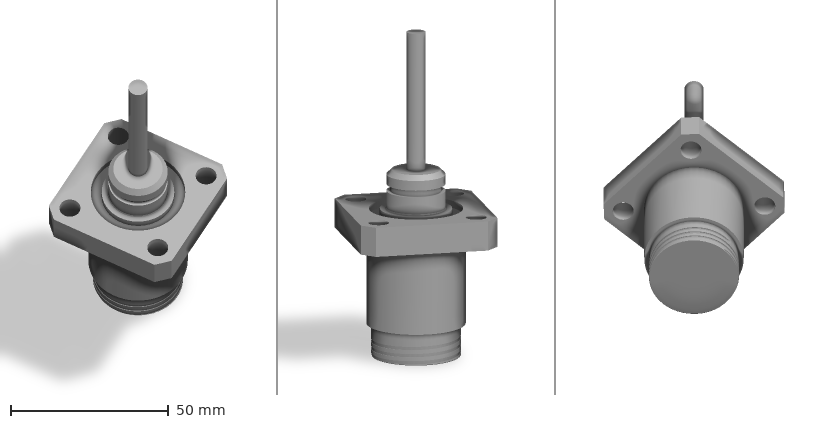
import cadquery as cq
import math

TOTAL_HEIGHT = 105.7
BARREL_BOTTOM = 10.5
FLANGE_BOTTOM = 38.5
FLANGE_TOP = 48.0
NECK_GROOVE_BOTTOM = 53.8
NECK_GROOVE_TOP = 56.0
NECK_TOP = 60.8

FLANGE_SIDE = 44.5
FLANGE_CORNER_CHAMFER = 4.0
HOLE_SPACING = 31.8
HOLE_DIAMETER = 6.7

RECESS_OUTER_DIAMETER = 30.0
RECESS_INNER_DIAMETER = 23.0
RECESS_DEPTH = 2.3

BARREL_DIAMETER = 31.6
SPIGOT_DIAMETER = 28.6
NECK_DIAMETER = 18.8
NECK_GROOVE_DIAMETER = 16.4
NECK_TOP_CHAMFER = 1.6
NECK_BASE_FLARE = 0.3
CABLE_DIAMETER = 6.0

SPIGOT_END_CHAMFER = 0.2
THREAD_PITCH = 2.3
THREAD_TURNS = 3
THREAD_START = -0.1
THREAD_WIDTH = 1.1
THREAD_DEPTH = 0.26
CUTTER_OVERHANG = 0.5


def cylinder(diameter, bottom, top):
    return cq.Workplane("XY", origin=(0, 0, bottom)).circle(diameter / 2).extrude(top - bottom)


def make_flange():
    """Square plate with cut corners, four through holes and a ring-shaped recess."""
    flange = (
        cq.Workplane("XY", origin=(0, 0, FLANGE_BOTTOM))
        .rect(FLANGE_SIDE, FLANGE_SIDE)
        .extrude(FLANGE_TOP - FLANGE_BOTTOM)
        .edges("|Z")
        .chamfer(FLANGE_CORNER_CHAMFER)
        .faces(">Z")
        .workplane(origin=(0, 0, FLANGE_TOP))
        .rect(HOLE_SPACING, HOLE_SPACING, forConstruction=True)
        .vertices()
        .hole(HOLE_DIAMETER)
    )
    recess_floor = FLANGE_TOP - RECESS_DEPTH
    recess = cylinder(RECESS_OUTER_DIAMETER, recess_floor, FLANGE_TOP).cut(
        cylinder(RECESS_INNER_DIAMETER, recess_floor, FLANGE_TOP)
    )
    return flange.cut(recess)


def make_neck():
    """Grooved neck around the cable exit, chamfered at its top and flared at its base."""
    radius = NECK_DIAMETER / 2
    groove_radius = NECK_GROOVE_DIAMETER / 2
    return (
        cq.Workplane("XZ")
        .moveTo(0, FLANGE_TOP)
        .lineTo(radius + NECK_BASE_FLARE, FLANGE_TOP)
        .lineTo(radius, FLANGE_TOP + NECK_BASE_FLARE)
        .lineTo(radius, NECK_GROOVE_BOTTOM)
        .lineTo(groove_radius, NECK_GROOVE_BOTTOM)
        .lineTo(groove_radius, NECK_GROOVE_TOP)
        .lineTo(radius, NECK_GROOVE_TOP)
        .lineTo(radius, NECK_TOP - NECK_TOP_CHAMFER)
        .lineTo(radius - NECK_TOP_CHAMFER, NECK_TOP)
        .lineTo(0, NECK_TOP)
        .close()
        .revolve(360, (0, 0, 0), (0, 1, 0))
    )


def make_thread_cutter():
    """Right-handed helix of rectangular section, with a straight tangent run-out at its upper end."""
    root_radius = SPIGOT_DIAMETER / 2 - THREAD_DEPTH
    thread_height = THREAD_PITCH * THREAD_TURNS
    cutter_depth = THREAD_DEPTH + CUTTER_OVERHANG
    section_center = -(root_radius + cutter_depth / 2)
    helix = cq.Wire.makeHelix(THREAD_PITCH, thread_height, root_radius)
    helix = helix.rotate(cq.Vector(0, 0, 0), cq.Vector(0, 0, 1), 180)
    helix = helix.translate(cq.Vector(0, 0, THREAD_START))
    spiral = (
        cq.Workplane("XZ")
        .center(section_center, THREAD_START)
        .rect(cutter_depth, THREAD_WIDTH)
        .sweep(cq.Workplane(obj=helix), isFrenet=True)
    )
    run_out_length = math.sqrt((SPIGOT_DIAMETER / 2) ** 2 - root_radius**2) + CUTTER_OVERHANG
    run_out = (
        cq.Workplane("XZ")
        .center(section_center, THREAD_START + thread_height)
        .rect(cutter_depth, THREAD_WIDTH)
        .extrude(run_out_length)
    )
    return spiral, run_out


def make_spigot():
    """Threaded end below the barrel."""
    blank = cylinder(SPIGOT_DIAMETER, 0, BARREL_BOTTOM)
    spigot = blank
    for cutter in make_thread_cutter():
        spigot = spigot.cut(cutter)
    chamfer_ring = blank.cut(blank.faces("<Z").chamfer(SPIGOT_END_CHAMFER))
    return spigot.cut(chamfer_ring)


def make_housing():
    barrel = cylinder(BARREL_DIAMETER, BARREL_BOTTOM, FLANGE_BOTTOM)
    return make_flange().union(make_neck()).union(barrel).union(make_spigot())


def make_cable():
    """Plain round cable standing on the top of the neck."""
    return cylinder(CABLE_DIAMETER, NECK_TOP, TOTAL_HEIGHT)


housing = make_housing()
cable = make_cable()

result = cq.Compound.makeCompound([housing.val(), cable.val()])